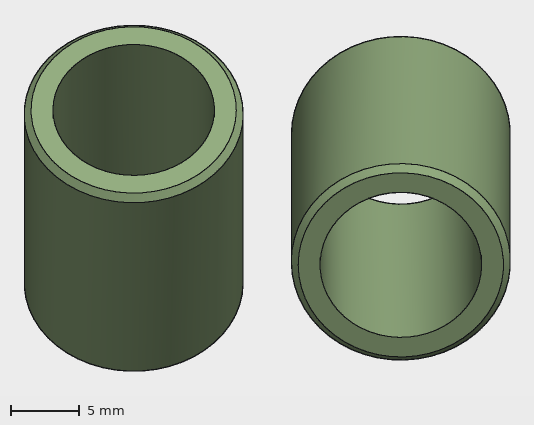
import cadquery as cq

height = 22.0
outer_diameter = 16.0
bore_diameter = 11.8
edge_chamfer = 0.5

body = cq.Workplane("XY").circle(outer_diameter / 2).extrude(height)
body = body.faces("<Z or >Z").edges().chamfer(edge_chamfer)

result = body.faces(">Z").workplane().hole(bore_diameter)